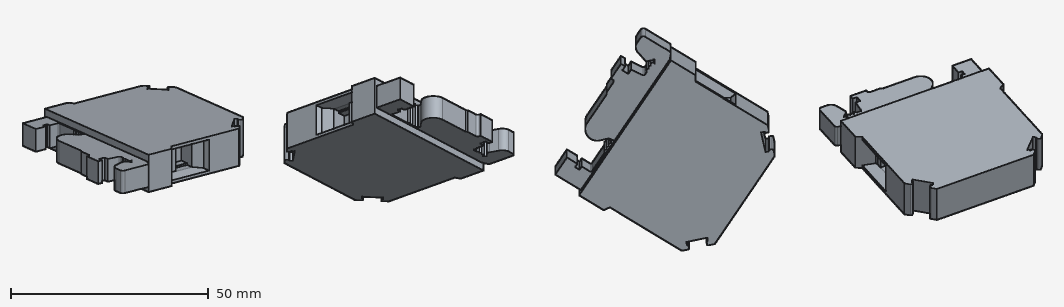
import cadquery as cq
import math


thickness = 10.05
housing_top = 35.95
half_width = 20.05
base_left = -21.52
base_right = 21.52
base_shoulder_y = 7.45
wall_shoulder_y = 8.3
corner_chamfer = 6.05

slot_depth = 2.05
slot_half_mouth = 2.3
slot_half_floor = 2.7
slot_lip_radius = 0.4
barb_tip_depth = 1.2
barb_root_depth = 1.05
barb_root_half = 2.45
barb_back_depth = 1.33

funnel_top_y = 20.4
funnel_upper_y = 19.85
funnel_upper_depth = 1.5
funnel_floor_depth = 3.15
funnel_lower_y = 10.05
shoulder_run_per_rise = (-half_width - base_left) / (wall_shoulder_y - base_shoulder_y)
funnel_lower_depth = (funnel_lower_y - wall_shoulder_y) * shoulder_run_per_rise
funnel_floor_low_y = 10.7
funnel_half_mouth = 4.15
funnel_half_floor = 3.4

opening_low_y = 12.25
opening_high_y = 17.25
opening_half_height = 2.9
opening_step_depth = 5.0
opening_depth = 7.3

foot_thickness = 6.12
foot_left = -20.7
foot_right = 22.75
foot_bottom = -9.75
web_y = -0.35
tooth_depth = 0.5

leg_bottom = -7.7
leg_right = -15.2
leg_notch_x = -16.25
leg_notch_low = -4.52
leg_notch_high = -3.25
leg_fillet = 0.3
leg_tooth_x = -8.45
leg_tooth_pitch = 1.0
leg_tooth_count = 4

throat_root_x = -5.0
throat_start = (-5.1, -1.15)
throat_middle = (-5.2, -1.4)
throat_end = (-5.4, -1.7)
nose_start = (-7.05, -3.25)
nose_middle = (-7.5, -6.6)
nose_end_x = -4.95
block_bottom = -8.35
ledge_left = 4.9
ledge_run = 0.4
ledge_bottom = -8.7
heel_round_start_x = 8.0
heel_round_middle = (8.45, -8.85)
heel_round_end_y = -9.28
heel_left = 8.65
heel_right = 13.3
heel_notch_x = 12.05
heel_notch_low = -8.5
heel_notch_high = -6.75
block_right_low = 13.45
block_right_high = 13.7

gap_top = -3.1
gap_fillet = 0.4
gap_tooth_x = 15.55
gap_tooth_pitch = 0.95
gap_tooth_count = 3
gap_end_x = 18.0
gap_peak_y = -2.6

undercut_tip = (18.85, -3.3)
catch_start = (17.5, -4.5)
catch_middle = (17.3, -4.9)
catch_end = (17.4, -5.3)
toe_start = (18.15, -7.6)
toe_middle = (18.85, -8.8)
toe_corner_radius = 0.85
latch_shoulder_end = (22.3, -0.6)
latch_bottom = -9.35
latch_bottom_left = 20.0
latch_side_high = -1.2
latch_root_x = 21.0


def housing_outline():
    chamfer_x = half_width - corner_chamfer
    chamfer_y = housing_top - corner_chamfer
    return (
        cq.Workplane("XY")
        .workplane(offset=-thickness / 2)
        .polyline([
            (base_left, 0),
            (base_right, 0),
            (base_right, base_shoulder_y),
            (half_width, wall_shoulder_y),
            (half_width, chamfer_y),
            (chamfer_x, housing_top),
            (-chamfer_x, housing_top),
            (-half_width, chamfer_y),
            (-half_width, wall_shoulder_y),
            (base_left, base_shoulder_y),
        ])
        .close()
        .extrude(thickness)
    )


def marker_slot():
    """Slot across the right-hand chamfer, with a barb under each rounded lip."""
    middle = (half_width - corner_chamfer / 2, housing_top - corner_chamfer / 2, -thickness / 2)
    along = (math.sqrt(0.5), -math.sqrt(0.5), 0)
    mouth = slot_half_mouth + slot_lip_radius
    bend = slot_lip_radius * (1 - math.sqrt(0.5))
    return (
        cq.Workplane(cq.Plane(origin=middle, xDir=along, normal=(0, 0, 1)))
        .moveTo(mouth, 0)
        .threePointArc((slot_half_mouth + bend, -bend), (slot_half_mouth, -slot_lip_radius))
        .lineTo(slot_half_mouth, -barb_tip_depth)
        .lineTo(barb_root_half, -barb_root_depth)
        .lineTo(slot_half_floor, -barb_back_depth)
        .lineTo(slot_half_floor, -slot_depth)
        .lineTo(-slot_half_floor, -slot_depth)
        .lineTo(-slot_half_floor, -barb_back_depth)
        .lineTo(-barb_root_half, -barb_root_depth)
        .lineTo(-slot_half_mouth, -barb_tip_depth)
        .lineTo(-slot_half_mouth, -slot_lip_radius)
        .threePointArc((-slot_half_mouth - bend, -bend), (-mouth, 0))
        .close()
        .extrude(thickness)
    )


def opening_stage(half_height, depth):
    """Rectangular stage of the wire opening, from the funnel floor to a depth below the wall."""
    return (
        cq.Workplane("XY")
        .box(
            depth - funnel_floor_depth,
            opening_high_y - opening_low_y,
            2 * half_height,
            centered=(False, False, True),
        )
        .translate((funnel_floor_depth - half_width, opening_low_y, 0))
    )


def wire_entry():
    """Tapered funnel and stepped opening in the left-hand wall."""
    wall = -half_width
    floor = wall + funnel_floor_depth
    profile = (
        cq.Workplane("XY")
        .polyline([
            (wall, wall_shoulder_y),
            (wall + funnel_lower_depth, funnel_lower_y),
            (floor, funnel_floor_low_y),
            (floor, opening_high_y),
            (wall + funnel_upper_depth, funnel_upper_y),
            (wall, funnel_top_y),
        ])
        .close()
        .extrude(funnel_half_mouth, both=True)
    )
    taper = (
        cq.Workplane("XZ")
        .polyline([
            (wall, -funnel_half_mouth),
            (floor, -funnel_half_floor),
            (floor, funnel_half_floor),
            (wall, funnel_half_mouth),
        ])
        .close()
        .extrude(-funnel_top_y)
    )
    wide_stage = opening_stage(funnel_half_floor, opening_step_depth)
    narrow_stage = opening_stage(opening_half_height, opening_depth)
    return profile.intersect(taper).union(wide_stage).union(narrow_stage)


def add_teeth(wire, first_tip_x, pitch, count, root_y):
    """Draw a row of teeth hanging from root_y, ending at the last tip."""
    for index in range(count):
        tip_x = first_tip_x + index * pitch
        wire = wire.lineTo(tip_x - pitch / 2, root_y).lineTo(tip_x, root_y - tooth_depth)
    return wire


def add_fixed_leg(wire):
    """Leg from the housing down and back up to the toothed web."""
    wire = (
        wire.lineTo(foot_left, leg_bottom)
        .lineTo(leg_right, leg_bottom)
        .lineTo(leg_right, leg_notch_low)
        .lineTo(leg_notch_x, leg_notch_low)
        .lineTo(leg_notch_x, leg_notch_high)
        .lineTo(leg_right, leg_notch_high)
        .lineTo(leg_right, web_y - leg_fillet)
        .radiusArc((leg_right + leg_fillet, web_y), leg_fillet)
    )
    return add_teeth(wire, leg_tooth_x, leg_tooth_pitch, leg_tooth_count, web_y)


def add_middle_block(wire):
    """Rounded nose, stepped underside, heel and the toothed top of the latch gap."""
    wire = (
        wire.lineTo(throat_root_x, web_y)
        .lineTo(*throat_start)
        .threePointArc(throat_middle, throat_end)
        .lineTo(*nose_start)
        .threePointArc(nose_middle, (nose_end_x, block_bottom))
        .lineTo(ledge_left - ledge_run, block_bottom)
        .lineTo(ledge_left, ledge_bottom)
        .lineTo(heel_round_start_x, ledge_bottom)
        .threePointArc(heel_round_middle, (heel_left, heel_round_end_y))
        .lineTo(heel_left, foot_bottom)
        .lineTo(heel_right, foot_bottom)
        .lineTo(heel_right, heel_notch_low)
        .lineTo(heel_notch_x, heel_notch_low)
        .lineTo(heel_notch_x, heel_notch_high)
        .lineTo(block_right_low, heel_notch_high)
        .lineTo(block_right_high, gap_top - gap_fillet)
        .radiusArc((block_right_high + gap_fillet, gap_top), gap_fillet)
    )
    return add_teeth(wire, gap_tooth_x, gap_tooth_pitch, gap_tooth_count, gap_top)


def add_spring_latch(wire):
    """Undercut, rounded catch and outer side of the latch, back up to the housing."""
    return (
        wire.lineTo(gap_end_x, gap_top)
        .lineTo(gap_end_x, gap_peak_y)
        .lineTo(*undercut_tip)
        .lineTo(*catch_start)
        .threePointArc(catch_middle, catch_end)
        .lineTo(*toe_start)
        .threePointArc(toe_middle, (latch_bottom_left, latch_bottom))
        .lineTo(foot_right - toe_corner_radius, latch_bottom)
        .radiusArc((foot_right, latch_bottom + toe_corner_radius), -toe_corner_radius)
        .lineTo(foot_right, latch_side_high)
        .tangentArcPoint(latch_shoulder_end, relative=False)
        .lineTo(latch_root_x, 0)
    )


def rail_foot():
    wire = cq.Workplane("XY").workplane(offset=-foot_thickness / 2).moveTo(foot_left, 0)
    for add_section in (add_fixed_leg, add_middle_block, add_spring_latch):
        wire = add_section(wire)
    return wire.close().extrude(foot_thickness)


result = housing_outline().union(rail_foot())
for cutter in (marker_slot(), wire_entry()):
    result = result.cut(cutter).cut(cutter.mirror("YZ"))